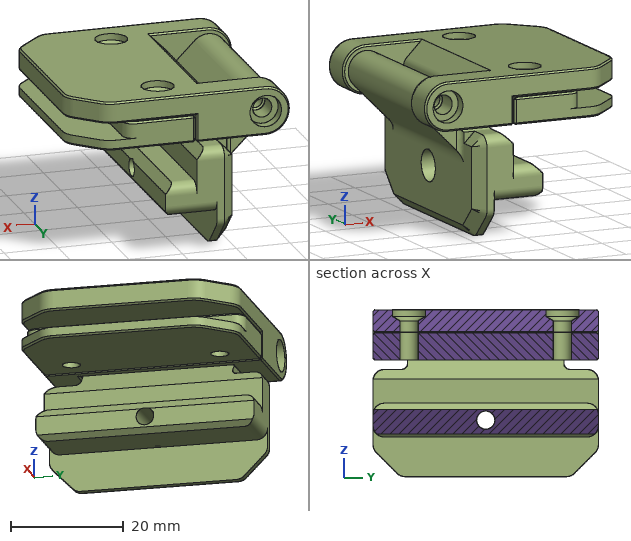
import cadquery as cq
import math

HALF_WIDTH = 20.0
KNUCKLE_RADIUS = 4.5
PLATE_END_X = 35.4
PLATE_CORNER_CUT = 6.0
PLATE_CORNER_RADIUS = 4.0
EDGE_CHAMFER = 0.3
SCREW_HOLE_RADIUS = 1.6
SCREW_HEAD_RADIUS = 2.9
PLATE_SCREW_X = 18.1
PLATE_SCREW_Y = 13.6
MARGIN = 0.4

PLATE_UNDERSIDE_Z = 0.5
ARM_END_X = 12.9
SLOT_HALF_WIDTH = 14.0
SLOT_APEX_X = 6.55
SLOT_NOSE_RADIUS = 2.0
PIN_CLEARANCE_RADIUS = 1.75
PIN_HEAD_DEPTH = 2.0
SCREW_HEAD_DEPTH = 1.2
SCREW_CONE_DEPTH = 0.8

CLAMP_START_X = 13.1
CLAMP_TOP_Z = 0.4
CLAMP_BLOCK_END_X = 26.1
CLAMP_BLOCK_CORNER_RADIUS = 2.0
CLAMP_BASE_THICKNESS = 1.9

BARREL_RADIUS = 3.5
BARREL_HALF_LENGTH = 13.9
BARREL_HOLE_RADIUS = 1.45
ROOT_SIDE_FILLET = 1.0
ROOT_FACE_FILLET = 3.4
LEAF_FACE_X = 5.6
LEAF_THIN_X = 9.1
LEAF_THICK_X = 12.8
LEAF_TOP_Z = -6.1
LEAF_BOTTOM_Z = -25.15
LEAF_BEVEL = 2.05
LEAF_CORNER_CUT = 3.7
RIB_END_X = 18.6
RIB_TOP_Z = -12.1
RIB_BOTTOM_Z = -18.1
RIB_TOP_CHAMFER = 1.6
RIB_BOTTOM_CHAMFER = 1.0
LEAF_HEAD_DEPTH = 4.0


def clipped_slab(start_x, bottom_z, top_z):
    """Full-width slab whose two far corners are cut at 45 degrees and rounded."""
    cut_x = PLATE_END_X - PLATE_CORNER_CUT
    cut_y = HALF_WIDTH - PLATE_CORNER_CUT
    slab = (
        cq.Workplane("XY", origin=(0, 0, bottom_z))
        .moveTo(start_x, -HALF_WIDTH)
        .lineTo(cut_x, -HALF_WIDTH)
        .lineTo(PLATE_END_X, -cut_y)
        .lineTo(PLATE_END_X, cut_y)
        .lineTo(cut_x, HALF_WIDTH)
        .lineTo(start_x, HALF_WIDTH)
        .close()
        .extrude(top_z - bottom_z)
    )
    far_corners = cq.selectors.BoxSelector(
        (cut_x - MARGIN, -2 * HALF_WIDTH, bottom_z),
        (PLATE_END_X + MARGIN, 2 * HALF_WIDTH, top_z),
    )
    return slab.edges("|Z").edges(far_corners).fillet(PLATE_CORNER_RADIUS)


def drill_plate_screws(body, radius, bottom_z, height):
    holes = (
        cq.Workplane("XY", origin=(PLATE_SCREW_X, 0, bottom_z))
        .pushPoints([(0, -PLATE_SCREW_Y), (0, PLATE_SCREW_Y)])
        .circle(radius)
        .extrude(height)
    )
    return body.cut(holes)


def on_level(edge, z):
    box = edge.BoundingBox()
    return abs(box.zmin - z) < 0.005 and abs(box.zmax - z) < 0.005


def on_side(edge, y):
    box = edge.BoundingBox()
    return abs(abs(edge.Center().y) - y) < 0.005 and box.ylen < 0.01


def knuckle_slot():
    """Opening for the barrel; its back is a 45 degree wedge with a rounded nose."""
    reach = KNUCKLE_RADIUS + MARGIN
    slot = (
        cq.Workplane("XZ")
        .moveTo(-reach, reach)
        .lineTo(SLOT_APEX_X + reach, reach)
        .lineTo(SLOT_APEX_X, 0)
        .lineTo(SLOT_APEX_X + reach, -reach)
        .lineTo(-reach, -reach)
        .close()
        .extrude(SLOT_HALF_WIDTH, both=True)
    )
    apex = cq.selectors.NearestToPointSelector((SLOT_APEX_X, 0, 0))
    return slot.edges(apex).fillet(SLOT_NOSE_RADIUS)


def is_main_leaf_rim(edge):
    """True for the convex outer edges of the plate, arms and slot sides."""
    center = edge.Center()
    is_slot_back = center.x > SLOT_APEX_X and abs(center.y) <= SLOT_HALF_WIDTH
    is_upright = edge.BoundingBox().zlen > 0.8 and edge.geomType() == "LINE"
    if abs(center.x - ARM_END_X) < 0.005:
        return not on_level(edge, PLATE_UNDERSIDE_Z)
    if is_upright:
        return False
    if on_side(edge, SLOT_HALF_WIDTH):
        return center.x < SLOT_APEX_X
    if on_side(edge, HALF_WIDTH):
        return True
    levels = (KNUCKLE_RADIUS, PLATE_UNDERSIDE_Z)
    on_plate = any(on_level(edge, z) for z in levels)
    return on_plate and center.x > ARM_END_X and (not is_slot_back or center.x > PLATE_END_X - MARGIN)


def drill_pin_holes(body):
    """Headed screw hole in each arm, along the pin axis."""
    floor_y = HALF_WIDTH - PIN_HEAD_DEPTH
    bore = cq.Workplane("XZ").circle(PIN_CLEARANCE_RADIUS).extrude(HALF_WIDTH, both=True)
    body = body.cut(bore)
    for side in (-1, 1):
        head = (
            cq.Workplane("XZ", origin=(0, side * floor_y, 0))
            .circle(SCREW_HEAD_RADIUS)
            .extrude(-side * PIN_HEAD_DEPTH)
        )
        body = body.cut(head)
    return body


def sink_plate_screws(body):
    """Through holes whose heads sit in a recess with a conical floor."""
    head_floor_z = KNUCKLE_RADIUS - SCREW_HEAD_DEPTH
    profile = (
        cq.Workplane("XZ")
        .moveTo(0, KNUCKLE_RADIUS)
        .lineTo(SCREW_HEAD_RADIUS, KNUCKLE_RADIUS)
        .lineTo(SCREW_HEAD_RADIUS, head_floor_z)
        .lineTo(SCREW_HOLE_RADIUS, head_floor_z - SCREW_CONE_DEPTH)
        .lineTo(SCREW_HOLE_RADIUS, PLATE_UNDERSIDE_Z)
        .lineTo(0, PLATE_UNDERSIDE_Z)
        .close()
    )
    tool = profile.revolve(360, (0, 0), (0, 1))
    for y in (-PLATE_SCREW_Y, PLATE_SCREW_Y):
        body = body.cut(tool.translate((PLATE_SCREW_X, y, 0)))
    return body


def make_main_leaf():
    arms = (
        cq.Workplane("XZ")
        .moveTo(0, KNUCKLE_RADIUS)
        .lineTo(ARM_END_X, KNUCKLE_RADIUS)
        .lineTo(ARM_END_X, -KNUCKLE_RADIUS)
        .lineTo(0, -KNUCKLE_RADIUS)
        .threePointArc((-KNUCKLE_RADIUS, 0), (0, KNUCKLE_RADIUS))
        .close()
        .extrude(HALF_WIDTH, both=True)
    )
    body = arms.union(clipped_slab(0, PLATE_UNDERSIDE_Z, KNUCKLE_RADIUS)).clean()
    body = body.cut(knuckle_slot())
    rim = [edge for edge in body.edges().vals() if is_main_leaf_rim(edge)]
    body = body.newObject(rim).chamfer(EDGE_CHAMFER)
    body = drill_pin_holes(body)
    return sink_plate_screws(body)


def make_clamp_plate():
    base_top_z = -KNUCKLE_RADIUS + CLAMP_BASE_THICKNESS
    base = clipped_slab(CLAMP_START_X, -KNUCKLE_RADIUS, base_top_z)
    block_length = CLAMP_BLOCK_END_X - CLAMP_START_X
    block = (
        cq.Workplane("XY", origin=(CLAMP_START_X, 0, -KNUCKLE_RADIUS))
        .rect(block_length, 2 * HALF_WIDTH)
        .extrude(CLAMP_TOP_Z + KNUCKLE_RADIUS)
        .translate((block_length / 2, 0, 0))
        .edges(">X and |Z")
        .fillet(CLAMP_BLOCK_CORNER_RADIUS)
    )
    body = base.union(block).clean()
    body = body.faces("<Z or >Z or <X").edges().chamfer(EDGE_CHAMFER)
    return drill_plate_screws(body, SCREW_HOLE_RADIUS, -KNUCKLE_RADIUS, CLAMP_TOP_Z + KNUCKLE_RADIUS)


def rounded_bar(top_z, bottom_z, start_x, end_x):
    """Full-width bar along Y with its four X-direction edges rounded."""
    return (
        cq.Workplane("YZ", origin=(start_x, 0, (top_z + bottom_z) / 2))
        .rect(2 * HALF_WIDTH, top_z - bottom_z)
        .extrude(end_x - start_x)
        .edges("|X")
        .fillet(LEAF_BEVEL)
    )


def bevelled_plate():
    """Thin plate whose face is bevelled all round, with clipped lower corners."""
    face_y = HALF_WIDTH - LEAF_BEVEL
    face_top = LEAF_TOP_Z - LEAF_BEVEL
    face_bottom = LEAF_BOTTOM_Z + LEAF_BEVEL
    corners = [
        (-face_y, face_top),
        (face_y, face_top),
        (face_y, face_bottom + LEAF_CORNER_CUT),
        (face_y - LEAF_CORNER_CUT, face_bottom),
        (LEAF_CORNER_CUT - face_y, face_bottom),
        (-face_y, face_bottom + LEAF_CORNER_CUT),
    ]
    face = cq.Workplane("YZ", origin=(LEAF_FACE_X, 0, 0)).polyline(corners).close()
    bevel = face.extrude(LEAF_BEVEL, taper=-45)
    back = (
        cq.Workplane("YZ", origin=(LEAF_FACE_X + LEAF_BEVEL, 0, 0))
        .polyline(corners)
        .close()
        .offset2D(LEAF_BEVEL)
        .extrude(LEAF_THIN_X - LEAF_FACE_X - LEAF_BEVEL)
    )
    return bevel.union(back)


def leaf_side_profile():
    """X-Z silhouette of the leaf: sloped shoulder in line with the arm, and the rib's chamfers."""
    shoulder_sum = BARREL_RADIUS * math.sqrt(2)
    return (
        cq.Workplane("XZ")
        .moveTo(LEAF_FACE_X, LEAF_TOP_Z)
        .lineTo(shoulder_sum - LEAF_TOP_Z, LEAF_TOP_Z)
        .lineTo(LEAF_THICK_X, shoulder_sum - LEAF_THICK_X)
        .lineTo(LEAF_THICK_X, RIB_TOP_Z)
        .lineTo(RIB_END_X - RIB_TOP_CHAMFER, RIB_TOP_Z)
        .lineTo(RIB_END_X, RIB_TOP_Z - RIB_TOP_CHAMFER)
        .lineTo(RIB_END_X, RIB_BOTTOM_Z + RIB_BOTTOM_CHAMFER)
        .lineTo(RIB_END_X - RIB_BOTTOM_CHAMFER, RIB_BOTTOM_Z)
        .lineTo(LEAF_THIN_X, RIB_BOTTOM_Z)
        .lineTo(LEAF_THIN_X, LEAF_BOTTOM_Z)
        .lineTo(LEAF_FACE_X, LEAF_BOTTOM_Z)
        .close()
        .extrude(HALF_WIDTH, both=True)
    )


def barrel_and_arm():
    """Barrel round the pin axis with a tangent arm sloping down at 45 degrees into the leaf."""
    tangent = BARREL_RADIUS / math.sqrt(2)
    slope_sum = 2 * tangent
    return (
        cq.Workplane("XZ")
        .moveTo(-tangent, -tangent)
        .threePointArc((-tangent, tangent), (tangent, tangent))
        .lineTo(LEAF_THICK_X, slope_sum - LEAF_THICK_X)
        .lineTo(LEAF_THICK_X, -slope_sum - LEAF_FACE_X)
        .lineTo(LEAF_FACE_X, -slope_sum - LEAF_FACE_X)
        .close()
        .extrude(BARREL_HALF_LENGTH, both=True)
    )


def flare_limit(surface_point, outward, height):
    """Wide prism bounded by a leaf surface, plus a pad on it that curves up to the arm's sides.

    The concave sides are quarter ellipses: `height` along the outward normal and
    ROOT_SIDE_FILLET across the width.
    """
    normal = cq.Vector(*outward).normalized()
    along = normal.cross(cq.Vector(0, 1, 0))
    plane = cq.Plane(origin=surface_point, xDir=normal, normal=along)
    foot = BARREL_HALF_LENGTH + ROOT_SIDE_FILLET
    length = 2 * HALF_WIDTH
    pad = (
        cq.Workplane(plane)
        .rect(2 * height, 2 * foot)
        .extrude(length, both=True)
        .union(cq.Workplane(plane).center(-length / 2, 0).rect(length, 2 * foot).extrude(length, both=True))
    )
    hollows = (
        cq.Workplane(plane)
        .pushPoints([(height, -foot), (height, foot)])
        .ellipse(height, ROOT_SIDE_FILLET)
        .extrude(length, both=True)
    )
    return pad.cut(hollows)


def arm_root():
    """Flared foot that blends the arm into the leaf's face, its top bevel and its top."""
    slope_sum = BARREL_RADIUS * math.sqrt(2)
    pad_x = LEAF_FACE_X - ROOT_SIDE_FILLET
    pad_z = LEAF_TOP_Z + ROOT_SIDE_FILLET
    corner_z = -slope_sum - LEAF_FACE_X
    setback = ROOT_FACE_FILLET * math.tan(math.radians(22.5))
    upper = (LEAF_FACE_X - setback / math.sqrt(2), corner_z + setback / math.sqrt(2))
    lower = (LEAF_FACE_X, corner_z - setback)
    arc_angle = math.radians(22.5)
    middle = (
        LEAF_FACE_X - ROOT_FACE_FILLET * (1 - math.cos(arc_angle)),
        lower[1] + ROOT_FACE_FILLET * math.sin(arc_angle),
    )
    foot = (
        cq.Workplane("XZ")
        .moveTo(*upper)
        .threePointArc(middle, lower)
        .lineTo(LEAF_THIN_X, lower[1])
        .lineTo(slope_sum - LEAF_TOP_Z, LEAF_TOP_Z)
        .lineTo(slope_sum - pad_z, pad_z)
        .lineTo(upper[0], pad_z)
        .close()
        .extrude(BARREL_HALF_LENGTH + ROOT_SIDE_FILLET, both=True)
    )
    bevel_middle = (LEAF_FACE_X + LEAF_BEVEL / 2, 0, LEAF_TOP_Z - LEAF_BEVEL / 2)
    bevel_pad = LEAF_BEVEL / math.sqrt(2) + ROOT_SIDE_FILLET * math.sqrt(2)
    face_limit = flare_limit((LEAF_FACE_X, 0, 0), (-1, 0, 0), ROOT_SIDE_FILLET)
    top_limit = flare_limit((0, 0, LEAF_TOP_Z), (0, 0, 1), ROOT_SIDE_FILLET)
    bevel_limit = flare_limit(bevel_middle, (-1, 0, 1), bevel_pad)
    return foot.intersect(face_limit).intersect(top_limit).intersect(bevel_limit)


def drill_barrel(body):
    """Pin hole through the barrel with chamfered mouths."""
    profile = (
        cq.Workplane("XY")
        .moveTo(0, -BARREL_HALF_LENGTH)
        .lineTo(BARREL_HOLE_RADIUS + EDGE_CHAMFER, -BARREL_HALF_LENGTH)
        .lineTo(BARREL_HOLE_RADIUS, EDGE_CHAMFER - BARREL_HALF_LENGTH)
        .lineTo(BARREL_HOLE_RADIUS, BARREL_HALF_LENGTH - EDGE_CHAMFER)
        .lineTo(BARREL_HOLE_RADIUS + EDGE_CHAMFER, BARREL_HALF_LENGTH)
        .lineTo(0, BARREL_HALF_LENGTH)
        .close()
    )
    return body.cut(profile.revolve(360, (0, 0), (0, 1)))


def drill_leaf_screw(body):
    """Counterbored screw hole through the middle of the leaf and its rib."""
    face = cq.Workplane("YZ", origin=(LEAF_FACE_X, 0, (RIB_TOP_Z + RIB_BOTTOM_Z) / 2))
    hole = face.circle(SCREW_HOLE_RADIUS).extrude(RIB_END_X - LEAF_FACE_X)
    head = face.circle(SCREW_HEAD_RADIUS).extrude(LEAF_HEAD_DEPTH)
    return body.cut(hole).cut(head)


def make_swinging_leaf():
    bars = rounded_bar(LEAF_TOP_Z, RIB_BOTTOM_Z, LEAF_FACE_X + LEAF_BEVEL, LEAF_THICK_X)
    bars = bars.union(rounded_bar(RIB_TOP_Z, RIB_BOTTOM_Z, LEAF_THIN_X, RIB_END_X))
    body = bevelled_plate().union(bars).intersect(leaf_side_profile())
    body = body.union(barrel_and_arm()).union(arm_root()).clean()
    body = drill_barrel(body)
    return drill_leaf_screw(body)


main_leaf = make_main_leaf()
clamp_plate = make_clamp_plate()
swinging_leaf = make_swinging_leaf()
result = cq.Compound.makeCompound([main_leaf.val(), clamp_plate.val(), swinging_leaf.val()])